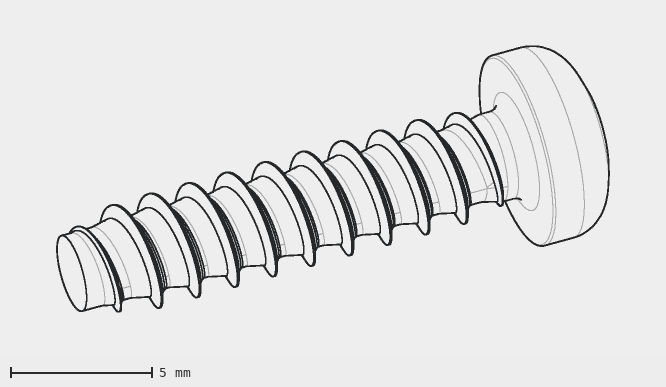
import math

import cadquery as cq


HEAD_RADIUS = 3.5
HEAD_HEIGHT = 3.068
HEAD_RIM_HEIGHT = 1.17
HEAD_CORNER_RADIUS = 1.4
HEAD_EDGE_RADIUS = 0.08
SLOT_WIDTH = 0.65
SLOT_DEPTH = 0.24

SHANK_LENGTH = 17.0
NECK_RADIUS = 1.6
NECK_FILLET = 0.57
NECK_END = 0.98
CORE_RADIUS = 1.42
CORE_START = 1.7
TIP_RADIUS = 1.39
TIP_DIMPLE_DEPTH = 0.08

THREAD_RADIUS = 2.0
THREAD_PITCH = 1.46
THREAD_START = 0.895
THREAD_START_ANGLE = math.radians(-90)
THREAD_START_SCALE = 0.5
THREAD_RISE_LENGTH = THREAD_PITCH
THREAD_END = 16.8
THREAD_END_SCALE = 0.1
THREAD_FADE_LENGTH = 2.0
POINTS_PER_TURN = 14

ROOT_RADIUS = 1.38
CREST_HALF_WIDTH = 0.03
RIDGE_SECTION = [
    (ROOT_RADIUS, -0.44),
    (1.45, -0.31),
    (1.58, -0.19),
    (THREAD_RADIUS, -CREST_HALF_WIDTH),
    (THREAD_RADIUS, CREST_HALF_WIDTH),
    (1.54, 0.23),
    (ROOT_RADIUS, 1.0),
]


def revolve_about_axis(outline):
    return outline.close().revolve(360, (0, 0, 0), (0, 1, 0))


def make_head():
    corner_x = HEAD_RADIUS - HEAD_CORNER_RADIUS
    apex_above_corner = HEAD_HEIGHT - HEAD_RIM_HEIGHT
    dome_radius = (corner_x**2 + apex_above_corner**2 - HEAD_CORNER_RADIUS**2) / (
        2 * (apex_above_corner - HEAD_CORNER_RADIUS)
    )
    dome_center = HEAD_HEIGHT - dome_radius
    tangent_angle = math.atan2(HEAD_RIM_HEIGHT - dome_center, corner_x)

    def on_corner(angle):
        return (
            corner_x + HEAD_CORNER_RADIUS * math.cos(angle),
            -HEAD_RIM_HEIGHT - HEAD_CORNER_RADIUS * math.sin(angle),
        )

    def on_dome(angle):
        return (
            dome_radius * math.cos(angle),
            -dome_center - dome_radius * math.sin(angle),
        )

    outline = (
        cq.Workplane("XZ")
        .lineTo(HEAD_RADIUS, 0)
        .lineTo(HEAD_RADIUS, -HEAD_RIM_HEIGHT)
        .threePointArc(on_corner(tangent_angle / 2), on_corner(tangent_angle))
        .threePointArc(on_dome((tangent_angle + math.pi / 2) / 2), (0, -HEAD_HEIGHT))
    )
    head = revolve_about_axis(outline)
    return head.faces(">Z").edges().fillet(HEAD_EDGE_RADIUS)


def cut_cross_slots(head):
    slot_floor = -HEAD_HEIGHT + SLOT_DEPTH
    slot = (
        cq.Workplane("XY")
        .workplane(offset=slot_floor)
        .rect(2 * HEAD_RADIUS, SLOT_WIDTH)
        .extrude(-2 * SLOT_DEPTH)
    )
    return head.cut(slot).cut(slot.rotate((0, 0, 0), (0, 0, 1), 90))


def make_shank():
    flare_radius = NECK_RADIUS + NECK_FILLET
    fillet_mid = NECK_FILLET * (1 - math.sqrt(0.5))
    outline = (
        cq.Workplane("XZ")
        .moveTo(0, -HEAD_RIM_HEIGHT)
        .lineTo(NECK_RADIUS, -HEAD_RIM_HEIGHT)
        .lineTo(NECK_RADIUS, 0)
        .lineTo(flare_radius, 0)
        .threePointArc((NECK_RADIUS + fillet_mid, fillet_mid), (NECK_RADIUS, NECK_FILLET))
        .lineTo(NECK_RADIUS, NECK_END)
        .lineTo(CORE_RADIUS, CORE_START)
        .lineTo(TIP_RADIUS, SHANK_LENGTH)
        .lineTo(0, SHANK_LENGTH - TIP_DIMPLE_DEPTH)
    )
    return revolve_about_axis(outline)


def ridge_scale(crest_z):
    rise = (crest_z - THREAD_START) / THREAD_RISE_LENGTH
    fade = (THREAD_END - crest_z) / THREAD_FADE_LENGTH
    return min(
        1,
        THREAD_START_SCALE + (1 - THREAD_START_SCALE) * rise,
        THREAD_END_SCALE + (1 - THREAD_END_SCALE) * fade,
    )


def ridge_point(section_point, turn):
    section_radius, section_offset = section_point
    crest_z = THREAD_START + THREAD_PITCH * turn
    scale = ridge_scale(crest_z)
    radius = ROOT_RADIUS + (section_radius - ROOT_RADIUS) * scale
    angle = THREAD_START_ANGLE + 2 * math.pi * turn
    return cq.Vector(
        radius * math.cos(angle),
        radius * math.sin(angle),
        crest_z + section_offset * scale,
    )


def ridge_end_face(turn):
    corners = [ridge_point(point, turn) for point in RIDGE_SECTION]
    return cq.Face.makeFromWires(cq.Wire.makePolygon(corners, close=True))


def ridge_side_faces(first_turn, last_turn):
    step = (last_turn - first_turn) / POINTS_PER_TURN
    turns = [first_turn + i * step for i in range(POINTS_PER_TURN + 1)]
    edges = [
        cq.Edge.makeSpline([ridge_point(point, turn) for turn in turns]) for point in RIDGE_SECTION
    ]
    next_edges = edges[1:] + edges[:1]
    return [cq.Face.makeRuledSurface(edge, other) for edge, other in zip(edges, next_edges)]


def make_thread():
    total_turns = (THREAD_END - THREAD_START) / THREAD_PITCH
    piece_count = math.ceil(total_turns)
    piece_turns = total_turns / piece_count
    faces = [ridge_end_face(0), ridge_end_face(total_turns)]
    for piece in range(piece_count):
        faces += ridge_side_faces(piece * piece_turns, (piece + 1) * piece_turns)
    return cq.Workplane(obj=cq.Solid.makeSolid(cq.Shell.makeShell(faces)))


screw = make_shank().union(cut_cross_slots(make_head())).union(make_thread())
result = screw.rotate((0, 0, 0), (1, 0, 0), 90)